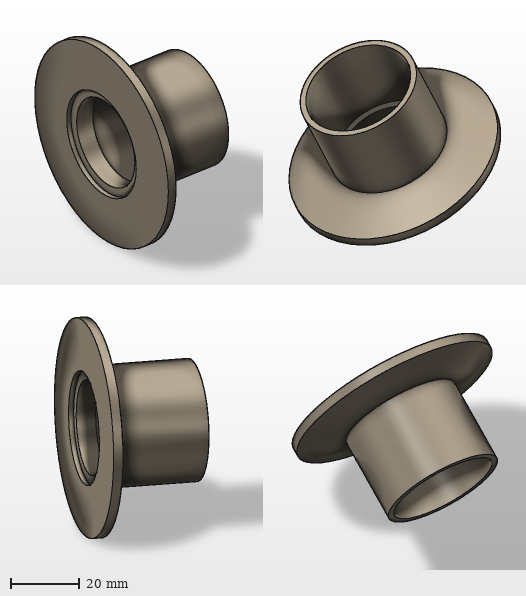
import cadquery as cq

flange_diameter = 65.0
total_length = 33.0
rim_thickness = 2.85
cone_length = 3.8
tube_diameter = 36.3
bore_diameter = 28.3
recess_diameter = 33.8
recess_depth = 1.55
socket_diameter = 32.6
socket_start = 7.5

flange_radius = flange_diameter / 2
tube_radius = tube_diameter / 2
bore_radius = bore_diameter / 2
recess_radius = recess_diameter / 2
socket_radius = socket_diameter / 2
cone_end = rim_thickness + cone_length

section = (
    cq.Workplane("XY")
    .moveTo(recess_radius, 0)
    .lineTo(flange_radius, 0)
    .lineTo(flange_radius, rim_thickness)
    .lineTo(tube_radius, cone_end)
    .lineTo(tube_radius, total_length)
    .lineTo(socket_radius, total_length)
    .lineTo(socket_radius, socket_start)
    .lineTo(bore_radius, socket_start)
    .lineTo(bore_radius, recess_depth)
    .lineTo(recess_radius, recess_depth)
    .close()
)

result = section.revolve(360, (0, 0, 0), (0, 1, 0))